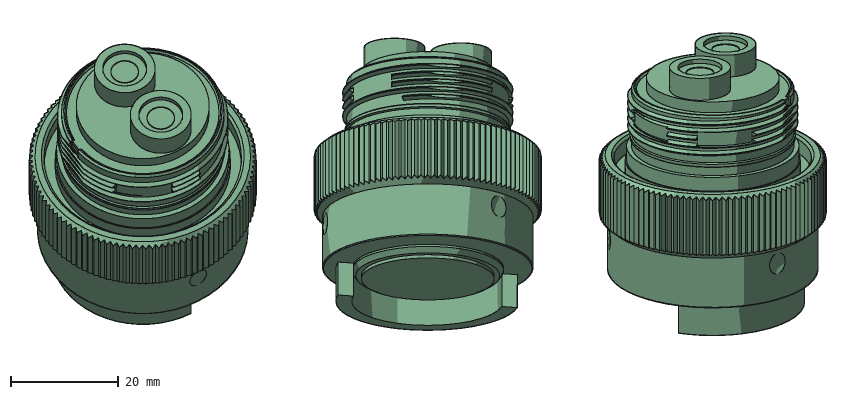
import cadquery as cq
import math

HEIGHT = 49.3
LOWER_INSERT_Z = 4.4
SEAL_TIP_Z = 5.05
SEAL_TAPER_Z = 6.05
BARREL_BOTTOM_Z = 6.45
NUT_BOTTOM_Z = 16.5
NUT_FLOOR_Z = 26.15
COLLAR_STEP_Z = 28.5
NUT_TOP_Z = 29.45
COLLAR_TOP_Z = 31.25
BEAD_BOTTOM_Z = 32.9
BEAD_TOP_Z = 33.8
FLANGE_Z = 42.75
SHELL_TOP_Z = 43.15
INSERT_TOP_Z = 44.9

INSERT_RADIUS = 12.35
SEAL_RADIUS = 14.15
SEAL_TIP_RADIUS = 13.4
SHELL_RADIUS = 15.15
SHELL_CHAMFER = 0.4
LIP_INNER_RADIUS = 14.2
LIP_BEVEL = 0.3
BEAD_RADIUS = 15.45
BEAD_BEVEL = 0.2
COLLAR_RADIUS = 16.05
COLLAR_BASE_RADIUS = 16.3
BARREL_RADIUS = 19.6
BARREL_CHAMFER = 0.2
SHIELD_RADIUS = 17.1

NUT_RADIUS = 21.15
KNURL_ROOT_RADIUS = 20.55
KNURL_TEETH = 107
NUT_LAND_RADIUS = 20.05
NUT_TOP_BEVEL = 0.9
NUT_BOTTOM_BEVEL = 1.35
NUT_BORE_RADIUS = 18.4
NUT_BORE_CHAMFER = 0.5

THREAD_RISE = 6.85
THREAD_TURNS = 4.57
THREAD_START_ANGLE = 60.0
THREAD_START_Z = 35.1
THREAD_CREST_RADIUS = 15.85
THREAD_HALF_BASE = 0.5
THREAD_HALF_CREST = 0.05
THREAD_EMBED = 0.2
TRIM_CLEARANCE = 0.25
THREAD_FLAT_Y = 15.45
THREAD_GAP_BOTTOM_Z = 37.2
THREAD_GAP_TOP_Z = 40.2
THREAD_GAP_MIN_Y = 2.95
THREAD_GAP_MIN_X = 9.55

KEYWAY_HALF_WIDTH = 1.3
KEYWAY_FLOOR_Z = 40.95
KEY_RADIUS = 14.85
KEY_BEVEL = 0.2

BOSS_OFFSET_X = 6.35
BOSS_RADIUS = 5.65
SOCKET_RADIUS = 4.1
SOCKET_DEPTH = 0.85
CONTACT_RADIUS = 2.55
CONE_DEPTH = 1.0
CONTACT_DEPTH = 1.15

DIMPLE_RADIUS = 2.05
DIMPLE_DEPTH = 0.4
DIMPLE_Z = 13.8
DIMPLE_ANGLES = (0, 120, 240)


def revolved(points):
    """Turn a closed (radius, z) outline about the Z axis."""
    return cq.Workplane("XZ").polyline(points).close().revolve(360, (0, 0), (0, 1))


def make_core():
    """Insert, seal, barrel, collar and plain shell as one turned body."""
    lip_bevel_radius = LIP_INNER_RADIUS + LIP_BEVEL
    return revolved([
        (0, LOWER_INSERT_Z),
        (INSERT_RADIUS, LOWER_INSERT_Z),
        (INSERT_RADIUS, SEAL_TIP_Z),
        (SEAL_TIP_RADIUS, SEAL_TIP_Z),
        (SEAL_RADIUS, SEAL_TAPER_Z),
        (SEAL_RADIUS, BARREL_BOTTOM_Z),
        (BARREL_RADIUS - BARREL_CHAMFER, BARREL_BOTTOM_Z),
        (BARREL_RADIUS, BARREL_BOTTOM_Z + BARREL_CHAMFER),
        (BARREL_RADIUS, NUT_FLOOR_Z),
        (COLLAR_BASE_RADIUS, NUT_FLOOR_Z),
        (COLLAR_BASE_RADIUS, COLLAR_STEP_Z),
        (COLLAR_RADIUS, COLLAR_STEP_Z),
        (COLLAR_RADIUS, COLLAR_TOP_Z),
        (SHELL_RADIUS, COLLAR_TOP_Z),
        (SHELL_RADIUS, BEAD_BOTTOM_Z),
        (BEAD_RADIUS, BEAD_BOTTOM_Z + BEAD_BEVEL),
        (BEAD_RADIUS, BEAD_TOP_Z - BEAD_BEVEL),
        (SHELL_RADIUS, BEAD_TOP_Z),
        (SHELL_RADIUS, SHELL_TOP_Z - SHELL_CHAMFER),
        (SHELL_RADIUS - SHELL_CHAMFER, SHELL_TOP_Z),
        (lip_bevel_radius, SHELL_TOP_Z),
        (LIP_INNER_RADIUS, FLANGE_Z),
        (INSERT_RADIUS, FLANGE_Z),
        (INSERT_RADIUS, INSERT_TOP_Z),
        (0, INSERT_TOP_Z),
    ])


def make_shield():
    """Half tube below the barrel, on the -Y side."""
    front_half = cq.Workplane("XY").box(
        2 * SHIELD_RADIUS, SHIELD_RADIUS, BARREL_BOTTOM_Z, centered=(True, False, False)
    ).translate((0, -SHIELD_RADIUS, 0))
    tube = cq.Workplane("XY").circle(SHIELD_RADIUS).circle(SEAL_RADIUS).extrude(BARREL_BOTTOM_Z)
    return tube.intersect(front_half)


def make_nut():
    """Knurled ring: a toothed prism trimmed by a bevelled, bored envelope."""
    outline = []
    for i in range(2 * KNURL_TEETH):
        radius = NUT_RADIUS if i % 2 == 0 else KNURL_ROOT_RADIUS
        angle = math.pi * i / KNURL_TEETH
        outline.append((radius * math.cos(angle), radius * math.sin(angle)))
    teeth = cq.Workplane("XY").workplane(offset=NUT_BOTTOM_Z).polyline(outline).close()
    teeth = teeth.extrude(NUT_TOP_Z - NUT_BOTTOM_Z)

    envelope = revolved([
        (NUT_BORE_RADIUS, NUT_BOTTOM_Z),
        (BARREL_RADIUS, NUT_BOTTOM_Z),
        (NUT_RADIUS, NUT_BOTTOM_Z + NUT_BOTTOM_BEVEL),
        (NUT_RADIUS, NUT_TOP_Z - NUT_TOP_BEVEL),
        (NUT_LAND_RADIUS, NUT_TOP_Z),
        (NUT_BORE_RADIUS + NUT_BORE_CHAMFER, NUT_TOP_Z),
        (NUT_BORE_RADIUS, NUT_TOP_Z - NUT_BORE_CHAMFER),
    ])
    return teeth.intersect(envelope)


def thread_trim():
    """Solid the thread must stay inside: flat on the +Y and -Y sides, with four gaps."""
    width = 2 * (THREAD_CREST_RADIUS + TRIM_CLEARANCE)
    trim = cq.Workplane("XY").box(width, 2 * THREAD_FLAT_Y, HEIGHT, centered=(True, True, False))

    gap_length = THREAD_FLAT_Y - THREAD_GAP_MIN_Y
    gap_width = width / 2 - THREAD_GAP_MIN_X
    gap_centre_x = THREAD_GAP_MIN_X + gap_width / 2
    gap_centre_y = THREAD_GAP_MIN_Y + gap_length / 2
    gaps = (
        cq.Workplane("XY")
        .workplane(offset=THREAD_GAP_BOTTOM_Z)
        .rect(2 * gap_centre_x, 2 * gap_centre_y, forConstruction=True)
        .vertices()
        .rect(gap_width, gap_length)
        .extrude(THREAD_GAP_TOP_Z - THREAD_GAP_BOTTOM_Z)
    )
    return trim.cut(gaps)


def make_thread():
    """Right-hand thread whose flanks run on into the shell wall."""
    root_radius = SHELL_RADIUS - THREAD_EMBED
    flank_slope = (THREAD_HALF_BASE - THREAD_HALF_CREST) / (THREAD_CREST_RADIUS - SHELL_RADIUS)
    root_half_width = THREAD_HALF_BASE + THREAD_EMBED * flank_slope
    helix = cq.Wire.makeHelix(THREAD_RISE / THREAD_TURNS, THREAD_RISE, root_radius)
    tooth = cq.Workplane("XZ").polyline([
        (root_radius, -root_half_width),
        (THREAD_CREST_RADIUS, -THREAD_HALF_CREST),
        (THREAD_CREST_RADIUS, THREAD_HALF_CREST),
        (root_radius, root_half_width),
    ]).close()
    thread = tooth.sweep(cq.Workplane(obj=helix), isFrenet=True)
    thread = thread.rotate((0, 0, 0), (0, 0, 1), THREAD_START_ANGLE).translate((0, 0, THREAD_START_Z))
    return thread.intersect(thread_trim())


def make_keyway():
    """Cutter for the notch through the shell rim at -Y, reaching in to the insert."""
    depth = THREAD_CREST_RADIUS - INSERT_RADIUS
    return cq.Workplane("XY").box(
        2 * KEYWAY_HALF_WIDTH, depth, SHELL_TOP_Z - KEYWAY_FLOOR_Z, centered=(True, False, False)
    ).translate((0, -THREAD_CREST_RADIUS, KEYWAY_FLOOR_Z))


def make_key():
    """Insert key filling the notch up to the flange, with a bevelled outer face."""
    depth = KEY_RADIUS - INSERT_RADIUS
    key = cq.Workplane("XY").box(
        2 * KEYWAY_HALF_WIDTH, depth, FLANGE_Z - KEYWAY_FLOOR_Z, centered=(True, False, False)
    ).translate((0, -KEY_RADIUS, KEYWAY_FLOOR_Z))
    return key.faces("<Y").chamfer(KEY_BEVEL)


def make_boss(x):
    """Contact boss with a stepped, coned socket in its top."""
    boss = revolved([
        (0, FLANGE_Z),
        (BOSS_RADIUS, FLANGE_Z),
        (BOSS_RADIUS, HEIGHT),
        (SOCKET_RADIUS, HEIGHT),
        (SOCKET_RADIUS, HEIGHT - SOCKET_DEPTH),
        (CONTACT_RADIUS, HEIGHT - CONE_DEPTH),
        (CONTACT_RADIUS, HEIGHT - CONTACT_DEPTH),
        (0, HEIGHT - CONTACT_DEPTH),
    ])
    return boss.translate((x, 0, 0))


def make_dimple(angle):
    """Ball cutter whose cap sinks into the barrel wall."""
    ball_radius = (DIMPLE_RADIUS**2 + DIMPLE_DEPTH**2) / (2 * DIMPLE_DEPTH)
    ball = cq.Workplane("XY").sphere(ball_radius)
    ball = ball.translate((BARREL_RADIUS - DIMPLE_DEPTH + ball_radius, 0, DIMPLE_Z))
    return ball.rotate((0, 0, 0), (0, 0, 1), angle)


result = make_core()
for dimple_angle in DIMPLE_ANGLES:
    result = result.cut(make_dimple(dimple_angle))
result = result.cut(make_keyway()).union(make_key()).union(make_shield())
for boss_x in (-BOSS_OFFSET_X, BOSS_OFFSET_X):
    result = result.union(make_boss(boss_x))
result = result.union(make_nut())
result = result.union(make_thread())